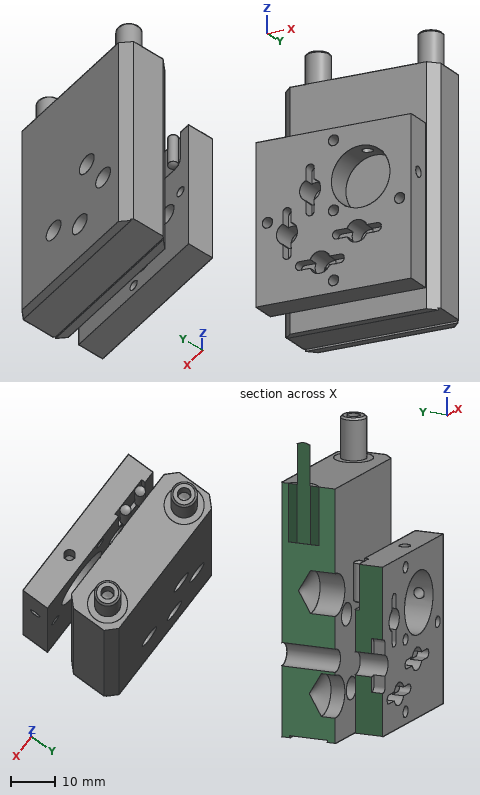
import cadquery as cq
import math

WIDTH = 40.0
BLOCK_DEPTH = 13.5
BLOCK_HEIGHT = 60.0
TOTAL_HEIGHT = 70.0
PLATE_SIZE = WIDTH
PLATE_THICKNESS = 7.0
PLATE_GAP = 5.0
PLATE_BOTTOM = 3.0
PLATE_CENTER_Z = PLATE_BOTTOM + PLATE_SIZE / 2
PLATE_BACK_Y = -PLATE_GAP
PLATE_FRONT_Y = PLATE_BACK_Y - PLATE_THICKNESS

BLOCK_CHAMFER = 2.45
BASE_GROOVE_WIDTH = 9.4
BASE_GROOVE_DEPTH = 0.5
CONTACT_OFFSET = 12.0
CONTACT_BORE_DIAMETER = 10.0
UPPER_BORE_DEPTH = 6.2
LOWER_BORE_DEPTH = 3.5
DRILL_TIP_HALF_ANGLE = math.radians(59)

ROD_X = 14.5
ROD_Y = BLOCK_DEPTH - 5.5
ROD_DIAMETER = 6.0
ROD_CHAMFER = 0.5
ROD_LENGTH = 23.8
ROD_BOTTOM = TOTAL_HEIGHT - ROD_LENGTH
SOCKET_DIAMETER = 3.0
SOCKET_DEPTH = 4.2
BUSHING_DIAMETER = 9.1
BUSHING_LENGTH = BLOCK_HEIGHT - ROD_BOTTOM

LENS_BORE_DIAMETER = 15.05
LENS_BORE_OFFSET = 7.0
SCREW_HOLE_DIAMETER = 2.6
SCREW_HOLE_SPACING = 17.0
SPRING_HOLE_DIAMETER = 5.4
SPRING_SLOT_LENGTH = 12.5
SPRING_SLOT_WIDTH = 2.1
SPRING_SLOT_DEPTH = 2.8
SPRING_INNER_OFFSET = 6.0
SPRING_OUTER_OFFSET = 3.5
SPRING_PLACES = [
    (-SPRING_INNER_OFFSET, SPRING_INNER_OFFSET, 90),
    (-CONTACT_OFFSET, -SPRING_OUTER_OFFSET, 90),
    (SPRING_INNER_OFFSET, -SPRING_INNER_OFFSET, 0),
    (-SPRING_OUTER_OFFSET, -CONTACT_OFFSET, 0),
]

DOWEL_DIAMETER = 2.5
DOWEL_LENGTH = 9.8
DOWEL_DOME = 0.4
DOWEL_SPACING = 5.5
RECESS_WIDTH = CONTACT_BORE_DIAMETER
RECESS_HEIGHT = DOWEL_LENGTH + 1.0
RECESS_CORNER_RADIUS = 2.0
RECESS_DEPTH = 1.0
DOWEL_Y = PLATE_BACK_Y - RECESS_DEPTH + DOWEL_DIAMETER / 2
PLATE_TOP = PLATE_BOTTOM + PLATE_SIZE


def rod_places(z):
    """Centres of the two adjuster rods at height z."""
    return [(side * ROD_X, ROD_Y, z) for side in (-1, 1)]


def facing_plane(y):
    """Plane at depth y whose axes run along X and Z from the plate centre; its normal is -Y."""
    return cq.Workplane("XZ", origin=(0, y, PLATE_CENTER_Z))


def make_block():
    block = (
        cq.Workplane("XY")
        .box(WIDTH, BLOCK_DEPTH, BLOCK_HEIGHT, centered=(True, False, False))
        .edges("|Z")
        .chamfer(BLOCK_CHAMFER)
    )
    groove = (
        cq.Workplane("XY", origin=(0, BLOCK_DEPTH / 2, 0))
        .box(WIDTH, BASE_GROOVE_WIDTH, BASE_GROOVE_DEPTH, centered=(True, True, False))
    )
    spring_holes = (
        facing_plane(0)
        .pushPoints([(x, z) for x, z, _ in SPRING_PLACES])
        .circle(SPRING_HOLE_DIAMETER / 2)
        .extrude(-BLOCK_DEPTH)
    )
    bushing_holes = (
        cq.Workplane("XY")
        .pushPoints(rod_places(BLOCK_HEIGHT - BUSHING_LENGTH))
        .circle(BUSHING_DIAMETER / 2)
        .extrude(BUSHING_LENGTH)
    )
    upper_bore = make_contact_bore(CONTACT_OFFSET, UPPER_BORE_DEPTH)
    lower_bore = make_contact_bore(-CONTACT_OFFSET, LOWER_BORE_DEPTH)
    return block.cut(groove).cut(spring_holes).cut(bushing_holes).cut(upper_bore).cut(lower_bore)


def make_contact_bore(height, depth):
    """Drilled bore in the front face, at a height from the plate centre, ending in a cone."""
    radius = CONTACT_BORE_DIAMETER / 2
    tip = depth + radius / math.tan(DRILL_TIP_HALF_ANGLE)
    return (
        cq.Workplane("XY", origin=(-CONTACT_OFFSET, 0, PLATE_CENTER_Z + height))
        .polyline([(0, 0), (radius, 0), (radius, depth), (0, tip)])
        .close()
        .revolve(360, (0, 0), (0, 1))
    )


def make_bushing(place):
    return (
        cq.Workplane("XY", origin=place)
        .circle(BUSHING_DIAMETER / 2)
        .circle(ROD_DIAMETER / 2)
        .extrude(BUSHING_LENGTH)
    )


def make_rod(place):
    """Round rod with a chamfered top and a drilled socket that ends in a cone."""
    radius = ROD_DIAMETER / 2
    socket_radius = SOCKET_DIAMETER / 2
    socket_floor = ROD_LENGTH - SOCKET_DEPTH
    tip_depth = socket_radius / math.tan(DRILL_TIP_HALF_ANGLE)
    return (
        cq.Workplane("XZ", origin=place)
        .moveTo(0, 0)
        .lineTo(radius, 0)
        .lineTo(radius, ROD_LENGTH - ROD_CHAMFER)
        .lineTo(radius - ROD_CHAMFER, ROD_LENGTH)
        .lineTo(socket_radius, ROD_LENGTH)
        .lineTo(socket_radius, socket_floor)
        .lineTo(0, socket_floor - tip_depth)
        .close()
        .revolve(360, (0, 0), (0, 1))
    )


def make_plate():
    plate = (
        cq.Workplane("XY", origin=(0, PLATE_FRONT_Y, PLATE_BOTTOM))
        .box(PLATE_SIZE, PLATE_THICKNESS, PLATE_SIZE, centered=(True, False, False))
    )
    lens_bore = (
        facing_plane(PLATE_BACK_Y)
        .center(LENS_BORE_OFFSET, LENS_BORE_OFFSET)
        .circle(LENS_BORE_DIAMETER / 2)
        .extrude(PLATE_THICKNESS)
    )
    step = SCREW_HOLE_SPACING
    screw_holes = (
        facing_plane(PLATE_BACK_Y)
        .pushPoints([(0, 0), (step, 0), (-step, 0), (0, step), (0, -step)])
        .circle(SCREW_HOLE_DIAMETER / 2)
        .extrude(PLATE_THICKNESS)
    )
    plate = plate.cut(lens_bore).cut(screw_holes)
    for x, z, angle in SPRING_PLACES:
        hole = (
            facing_plane(PLATE_BACK_Y)
            .center(x, z)
            .circle(SPRING_HOLE_DIAMETER / 2)
            .extrude(PLATE_THICKNESS)
        )
        slot = (
            facing_plane(PLATE_FRONT_Y)
            .center(x, z)
            .slot2D(SPRING_SLOT_LENGTH, SPRING_SLOT_WIDTH, angle)
            .extrude(-SPRING_SLOT_DEPTH)
        )
        plate = plate.cut(hole).cut(slot)
    return plate.cut(make_set_screw_holes()).cut(make_dowel_recess())


def make_set_screw_holes():
    """Holes from the top edge and the +X edge of the plate into the lens bore."""
    middle_y = PLATE_BACK_Y - PLATE_THICKNESS / 2
    lens_z = PLATE_CENTER_Z + LENS_BORE_OFFSET
    reach = PLATE_SIZE / 2 - LENS_BORE_OFFSET
    from_top = (
        cq.Workplane("XY", origin=(LENS_BORE_OFFSET, middle_y, lens_z))
        .circle(SCREW_HOLE_DIAMETER / 2)
        .extrude(reach)
    )
    from_side = (
        cq.Workplane("YZ", origin=(LENS_BORE_OFFSET, middle_y, lens_z))
        .circle(SCREW_HOLE_DIAMETER / 2)
        .extrude(reach)
    )
    return from_top.union(from_side)


def make_dowel_recess():
    """Shallow pocket, open at the top edge of the plate, with rounded lower corners."""
    return (
        cq.Workplane("XY", origin=(-CONTACT_OFFSET, PLATE_BACK_Y - RECESS_DEPTH, PLATE_TOP - RECESS_HEIGHT))
        .box(RECESS_WIDTH, RECESS_DEPTH, RECESS_HEIGHT, centered=(True, False, False))
        .edges("|Y and <Z")
        .fillet(RECESS_CORNER_RADIUS)
    )


def make_dowel(x):
    """Upright dowel with a shallow dome on each end."""
    radius = DOWEL_DIAMETER / 2
    dome_radius = (radius**2 + DOWEL_DOME**2) / (2 * DOWEL_DOME)
    half_angle = math.asin(radius / dome_radius) / 2
    mid_r = dome_radius * math.sin(half_angle)
    mid_drop = dome_radius * (1 - math.cos(half_angle))
    return (
        cq.Workplane("XZ", origin=(x, DOWEL_Y, PLATE_TOP - DOWEL_LENGTH))
        .moveTo(0, 0)
        .threePointArc((mid_r, mid_drop), (radius, DOWEL_DOME))
        .lineTo(radius, DOWEL_LENGTH - DOWEL_DOME)
        .threePointArc((mid_r, DOWEL_LENGTH - mid_drop), (0, DOWEL_LENGTH))
        .close()
        .revolve(360, (0, 0), (0, 1))
    )


block = make_block()
plate = make_plate()
bushings = [make_bushing(place) for place in rod_places(BLOCK_HEIGHT - BUSHING_LENGTH)]
rods = [make_rod(place) for place in rod_places(ROD_BOTTOM)]
dowels = [make_dowel(-CONTACT_OFFSET + side * DOWEL_SPACING / 2) for side in (-1, 1)]

result = cq.Compound.makeCompound(
    [block.val(), plate.val()] + [body.val() for body in bushings + rods + dowels]
)